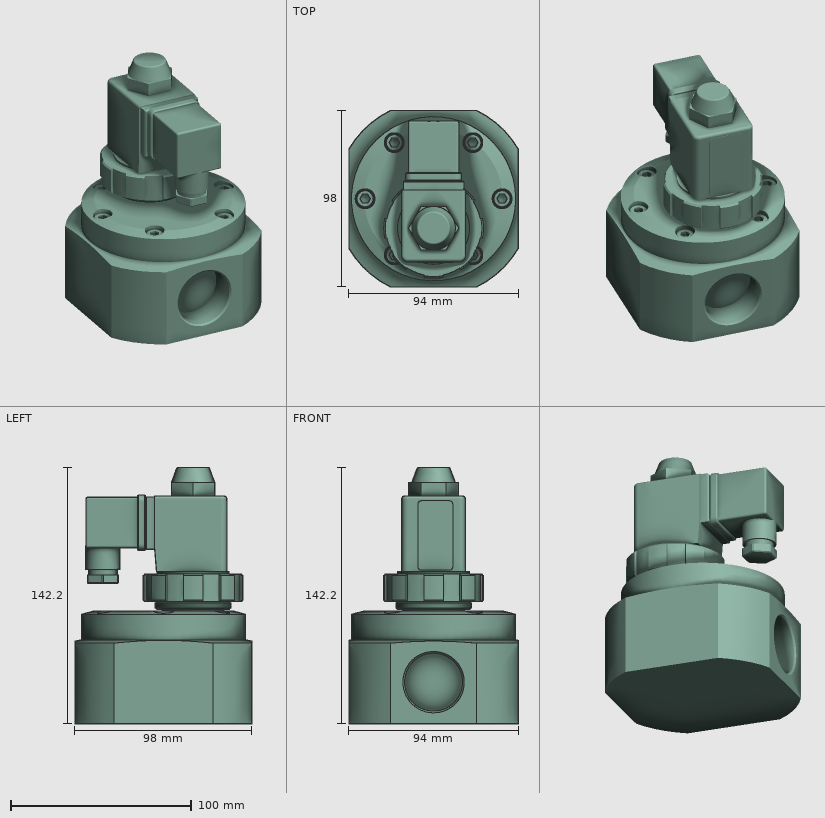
import cadquery as cq
import math


body_width = 94.0
body_length = 98.0
body_diameter = 108.9
body_rim_z = 44.8
body_top_z = 46.6
body_seat_diameter = 91.5

port_z = 23.2
port_diameter = 32.1
port_mouth_diameter = 34.0
port_depth = 16.5

cover_diameter = 91.0
cover_top_z = 62.7
cover_slope_width = 7.1
cover_slope_angle = 15

screw_circle_radius = 38.0
screw_angles = [0, 55, 125, 180, 235, 305]
counterbore_diameter = 11.0
counterbore_depth = 6.4
screw_head_diameter = 10.0
screw_head_chamfer = 0.5
screw_head_sink = 2.1
screw_socket_flats = 5.0
screw_socket_depth = 2.8
screw_socket_point_depth = 1.1

stem_y = -16.4

neck_diameter = 34.5
collar_diameter = 42.0
collar_bottom_z = 63.5
collar_chamfer = 0.9
nut_bottom_z = 67.8
nut_top_z = 83.0
nut_diameter = 52.9
grip_diameter = 55.3
grip_width = 10.8
grip_count = 8
grip_chamfer = 0.9
washer_diameter = 40.0

coil_bottom_z = 84.5
coil_top_z = 126.4
coil_width = 35.4
coil_front_y = -35.1
coil_rear_y = 5.0
coil_rear_taper = 1.0
coil_corner_radius = 3.4
coil_top_radius = 1.7

label_width = 19.3
label_height = 38.5
label_x = 1.0
label_z = 104.5
label_corner_radius = 2.0
label_thickness = 0.1

cap_hex_flats = 24.2
cap_hex_height = 7.5
cap_total_z = 142.2
cap_base_diameter = 24.2
cap_crown_diameter = 17.9
cap_crown_radius = 1.0

socket_width = 33.5
socket_bottom_z = 96.8
socket_top_z = 125.8
socket_rear_y = 10.0
socket_chamfer = 0.5
frame_width = 31.0
frame_bottom_z = 96.1
frame_top_z = 127.0
frame_rear_y = 14.5
frame_corner_radius = 3.5
frame_chamfer = 0.5
plug_width = 28.0
plug_bottom_z = 97.5
plug_top_z = 125.7
plug_rear_y = 43.1
plug_edge_radius = 1.1

gland_diameter = 18.9
gland_y = 33.7
gland_bottom_z = 85.7
gland_neck_diameter = 16.0
gland_nut_top_z = 82.6
gland_nut_bottom_z = 77.8
gland_nut_flats = 17.2
gland_nut_corner_diameter = 19.3
gland_nut_chamfer = 0.5


def rod(x, y, bottom_z, top_z, diameter):
    """Upright cylinder between two heights."""
    return cq.Workplane("XY", origin=(x, y, bottom_z)).circle(diameter / 2).extrude(top_z - bottom_z)


def hexagon(x, y, bottom_z, top_z, flats):
    """Upright hexagonal prism with corners on the X axis."""
    corners = flats / math.cos(math.pi / 6)
    return cq.Workplane("XY", origin=(x, y, bottom_z)).polygon(6, corners).extrude(top_z - bottom_z)


def block(width, front_y, rear_y, bottom_z, top_z):
    """Box centred on x = 0."""
    return cq.Workplane("XY").box(
        width, rear_y - front_y, top_z - bottom_z, centered=(True, False, False)
    ).translate((0, front_y, bottom_z))


def valve_body():
    turned = (
        cq.Workplane("XZ")
        .moveTo(0, 0)
        .lineTo(body_diameter / 2, 0)
        .lineTo(body_diameter / 2, body_rim_z)
        .lineTo(body_seat_diameter / 2, body_top_z)
        .lineTo(0, body_top_z)
        .close()
        .revolve(360, (0, 0, 0), (0, 1, 0))
    )
    body = turned.intersect(block(body_width, -body_length / 2, body_length / 2, 0, body_top_z))
    mouth_depth = (port_mouth_diameter - port_diameter) / 2
    port = (
        cq.Workplane("XY", origin=(0, -body_length / 2, port_z))
        .moveTo(0, 0)
        .lineTo(port_mouth_diameter / 2, 0)
        .lineTo(port_diameter / 2, mouth_depth)
        .lineTo(port_diameter / 2, port_depth)
        .lineTo(0, port_depth)
        .close()
        .revolve(360, (0, 0, 0), (0, 1, 0))
    )
    return body.cut(port).cut(port.mirror("XZ"))


def screw_head(x, y):
    floor_z = cover_top_z - counterbore_depth
    head_z = cover_top_z - screw_head_sink
    socket_z = head_z - screw_socket_depth
    head = rod(x, y, floor_z, head_z, screw_head_diameter).faces(">Z").chamfer(screw_head_chamfer)
    drill_radius = screw_socket_flats / math.sqrt(3)
    drill = (
        cq.Workplane("XZ", origin=(x, y, 0))
        .moveTo(0, socket_z - screw_socket_point_depth)
        .lineTo(drill_radius, socket_z)
        .lineTo(drill_radius, head_z)
        .lineTo(0, head_z)
        .close()
        .revolve(360, (0, 0, 0), (0, 1, 0))
    )
    socket = hexagon(x, y, floor_z, head_z, screw_socket_flats).intersect(drill)
    return head.cut(socket)


def cover():
    radius = cover_diameter / 2
    slope_drop = cover_slope_width * math.tan(math.radians(cover_slope_angle))
    plate = (
        cq.Workplane("XZ")
        .moveTo(0, body_top_z)
        .lineTo(radius, body_top_z)
        .lineTo(radius, cover_top_z - slope_drop)
        .lineTo(radius - cover_slope_width, cover_top_z)
        .lineTo(0, cover_top_z)
        .close()
        .revolve(360, (0, 0, 0), (0, 1, 0))
    )
    for angle in screw_angles:
        x = screw_circle_radius * math.cos(math.radians(angle))
        y = screw_circle_radius * math.sin(math.radians(angle))
        counterbore = rod(x, y, cover_top_z - counterbore_depth, cover_top_z, counterbore_diameter)
        plate = plate.cut(counterbore).union(screw_head(x, y))
    return plate


def coil_nut():
    nut = rod(0, stem_y, nut_bottom_z, nut_top_z, nut_diameter)
    grip_envelope = rod(0, stem_y, nut_bottom_z, nut_top_z, grip_diameter).edges().chamfer(grip_chamfer)
    for index in range(grip_count // 2):
        bar = (
            cq.Workplane("XY", origin=(0, stem_y, nut_bottom_z))
            .transformed(rotate=(0, 0, index * 360 / grip_count))
            .rect(grip_diameter, grip_width)
            .extrude(nut_top_z - nut_bottom_z)
        )
        nut = nut.union(bar.intersect(grip_envelope))
    return nut


def stem():
    neck = rod(0, stem_y, cover_top_z, collar_bottom_z, neck_diameter)
    collar = rod(0, stem_y, collar_bottom_z, nut_bottom_z, collar_diameter).edges().chamfer(collar_chamfer)
    washer = rod(0, stem_y, nut_top_z, coil_bottom_z, washer_diameter)
    return neck.union(collar).union(coil_nut()).union(washer)


def coil():
    housing = (
        cq.Workplane("YZ", origin=(-coil_width / 2, 0, 0))
        .moveTo(coil_front_y, coil_bottom_z)
        .lineTo(coil_rear_y - coil_rear_taper, coil_bottom_z)
        .lineTo(coil_rear_y, socket_bottom_z)
        .lineTo(coil_rear_y, coil_top_z)
        .lineTo(coil_front_y, coil_top_z)
        .close()
        .extrude(coil_width)
        .edges("|Z and <Y")
        .fillet(coil_corner_radius)
    )
    housing = housing.faces(">Z").edges("not >Y").fillet(coil_top_radius)
    label = (
        cq.Workplane("XZ", origin=(label_x, coil_front_y, label_z))
        .rect(label_width, label_height)
        .extrude(label_thickness)
        .edges("|Y")
        .fillet(label_corner_radius)
    )
    return housing.union(label)


def cap_nut():
    hex_top_z = coil_top_z + cap_hex_height
    hex_part = hexagon(0, stem_y, coil_top_z, hex_top_z, cap_hex_flats)
    cone = (
        cq.Workplane("XZ", origin=(0, stem_y, 0))
        .moveTo(0, hex_top_z)
        .lineTo(cap_base_diameter / 2, hex_top_z)
        .lineTo(cap_crown_diameter / 2, cap_total_z)
        .lineTo(0, cap_total_z)
        .close()
        .revolve(360, (0, 0, 0), (0, 1, 0))
        .faces(">Z")
        .edges()
        .fillet(cap_crown_radius)
    )
    return hex_part.union(cone)


def plug():
    socket = block(socket_width, coil_rear_y, socket_rear_y, socket_bottom_z, socket_top_z)
    socket = socket.faces(">Y").edges().chamfer(socket_chamfer)
    frame = block(frame_width, socket_rear_y, frame_rear_y, frame_bottom_z, frame_top_z)
    frame = frame.edges("|Y").fillet(frame_corner_radius).faces("<Y or >Y").edges().chamfer(frame_chamfer)
    box = block(plug_width, frame_rear_y, plug_rear_y, plug_bottom_z, plug_top_z)
    box = box.edges("|Y or >Y").fillet(plug_edge_radius)
    return socket.union(frame).union(box)


def cable_gland():
    overlap_z = plug_bottom_z + plug_edge_radius
    sleeve = rod(0, gland_y, gland_bottom_z, overlap_z, gland_diameter)
    neck = rod(0, gland_y, gland_nut_top_z, gland_bottom_z, gland_neck_diameter)
    rounded = rod(0, gland_y, gland_nut_bottom_z, gland_nut_top_z, gland_nut_corner_diameter)
    nut = hexagon(0, gland_y, gland_nut_bottom_z, gland_nut_top_z, gland_nut_flats).intersect(rounded)
    nut = nut.faces("<Z").chamfer(gland_nut_chamfer)
    return sleeve.union(neck).union(nut)


result = valve_body()
for component in (cover(), stem(), coil(), cap_nut(), plug(), cable_gland()):
    result = result.union(component)